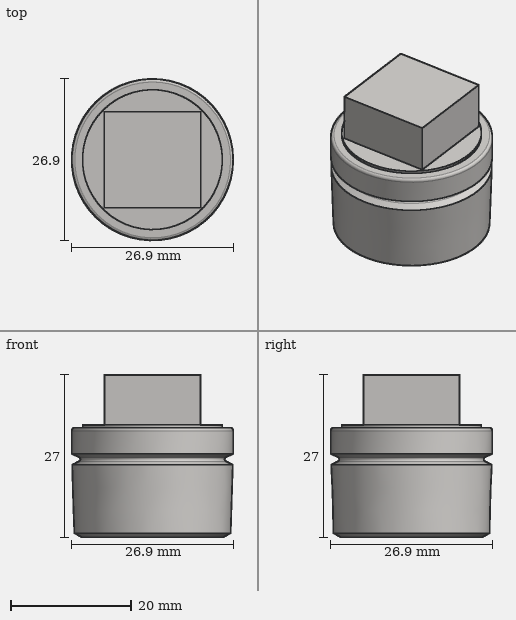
import cadquery as cq
import math

total_height = 27.0
seat_top = 18.7
seat_height = 0.45
collar_top = seat_top - seat_height
collar_bottom = 13.87
body_top = 12.05

head_width = 16.0
collar_radius = 26.88 / 2
collar_fillet = 0.5
seat_radius = 23.24 / 2

body_top_radius = 13.37
taper_per_side = 1 / 32
chamfer_height = 0.73
chamfer_angle = math.radians(30)
body_bottom_radius = body_top_radius - taper_per_side * (body_top - chamfer_height)
bottom_radius = body_bottom_radius - chamfer_height / math.tan(chamfer_angle)

upper_flank_angle = math.radians(24)
lower_flank_angle = math.radians(28.5)
root_arc_radius = 0.36


def groove_root_arc():
    """Return the lower, innermost and upper (radius, height) points of the root arc."""
    upper_slope = math.tan(upper_flank_angle)
    lower_slope = math.tan(lower_flank_angle)
    groove_width = collar_bottom - body_top
    corner_radius = (
        collar_radius * upper_slope + body_top_radius * lower_slope - groove_width
    ) / (upper_slope + lower_slope)
    corner_height = collar_bottom - (collar_radius - corner_radius) * upper_slope

    half_opening = (upper_flank_angle + lower_flank_angle) / 2
    bisector_angle = (upper_flank_angle - lower_flank_angle) / 2
    centre_distance = root_arc_radius / math.sin(half_opening)
    tangent_length = root_arc_radius / math.tan(half_opening)

    def from_corner(distance, angle):
        return (
            corner_radius + distance * math.cos(angle),
            corner_height + distance * math.sin(angle),
        )

    lower = from_corner(tangent_length, -lower_flank_angle)
    innermost = from_corner(centre_distance - root_arc_radius, bisector_angle)
    upper = from_corner(tangent_length, upper_flank_angle)
    return lower, innermost, upper


def make_turned_body():
    """Revolve the half section of the body, groove and collar about Z."""
    root_lower, root_innermost, root_upper = groove_root_arc()
    body = (
        cq.Workplane("XZ")
        .moveTo(0, 0)
        .lineTo(bottom_radius, 0)
        .lineTo(body_bottom_radius, chamfer_height)
        .lineTo(body_top_radius, body_top)
        .lineTo(*root_lower)
        .threePointArc(root_innermost, root_upper)
        .lineTo(collar_radius, collar_bottom)
        .lineTo(collar_radius, collar_top)
        .lineTo(0, collar_top)
        .close()
        .revolve(360, (0, 0, 0), (0, 1, 0))
    )
    return body.faces(">Z").edges().fillet(collar_fillet)


def make_seat():
    """Low round step on top of the collar."""
    return cq.Workplane("XY", origin=(0, 0, collar_top)).circle(seat_radius).extrude(seat_height)


def make_square_head():
    """Square wrench head standing on the seat."""
    head = cq.Workplane("XY", origin=(0, 0, seat_top)).rect(head_width, head_width)
    return head.extrude(total_height - seat_top)


result = make_turned_body().union(make_seat()).union(make_square_head())